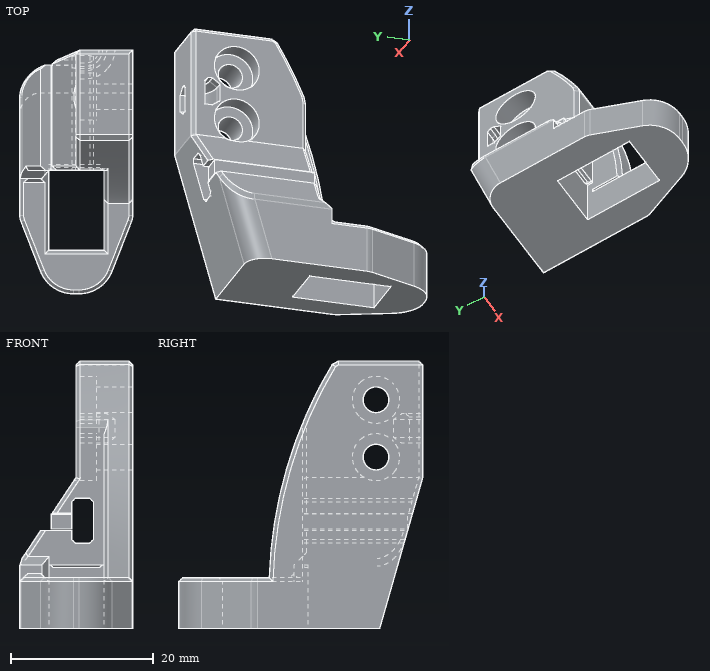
import cadquery as cq
import math

WIDTH = 15.87
LENGTH = 34.2
HEIGHT = 37.52
EDGE = 0.55

SLAB_HEIGHT = 7.15
TAPER_START_Y = 10.58
NOSE_WIDTH = 7.58
NOSE_RADIUS = 5.0
SHOULDER_RADIUS = 2.35

KNEE_HEIGHT = 21.15
UPPER_LEFT_X = 7.88
FLANK_FOOT_HEIGHT = 9.35
FLANK_RUN_PER_RISE = UPPER_LEFT_X / (KNEE_HEIGHT - FLANK_FOOT_HEIGHT)

BACK_FOOT_Y = 28.18
BACK_RUN_PER_RISE = (LENGTH - BACK_FOOT_Y) / KNEE_HEIGHT
BACK_CORNER_RADIUS = 3.0
CURVE_RADIUS = 61.9
CURVE_APEX_Y = 12.65
CURVE_APEX_Z = 5.1

WINDOW_LEFT = 4.1
WINDOW_RIGHT = 11.82
WINDOW_FRONT = 6.15
TOWER_FRONT_Y = 17.35

STEP_FRONT_Y = 16.17
STEP_HEIGHT = 8.93
STEP_SIDE_INSET = 0.98
STEP_DEPTH = TOWER_FRONT_Y - STEP_FRONT_Y
STEP_TOP = STEP_HEIGHT + STEP_DEPTH

UNDERCUT_DEPTH = 0.83
LEDGE_INSET = 0.23
LEDGE_DROP = 0.38
LEDGE_TAPER = 48.0

SLOT_LEFT = 7.3
SLOT_RIGHT = 10.3
SLOT_BOTTOM = 12.0
SLOT_TOP = 18.27
SLOT_CORNER = 0.5
MOUTH_BOTTOM = 13.77
MOUTH_TOP = 16.17

KEY_GAP_BELOW = 0.2
KEY_GAP_ABOVE = 0.1
KEY_LEFT = 4.43
KEY_BACK_Y = 32.05

HOLE_Y = 27.65
HOLE_MID_Z = 28.05
HOLE_PITCH = 8.03
HOLE_DIAMETER = 3.55
COUNTERBORE_DIAMETER = 6.6
COUNTERBORE_DEPTH = 2.93

TIE_STRAIGHT = 1.28
TIE_INNER_RADIUS = 2.0
TIE_THICKNESS = 2.2
TIE_HEIGHT = 4.13
TIE_OUTER_HEIGHT = 2.5
TIE_BEVEL = 1.13
TIE_ROOF_CORNER = 0.5
TIE_BACK_WALL = 1.88


def box(x0, x1, y0, y1, z0, z1):
    return cq.Workplane("XY").box(x1 - x0, y1 - y0, z1 - z0, centered=False).translate((x0, y0, z0))


def extrude_x(points, x0, x1):
    """Prism along X from (y, z) points."""
    return cq.Workplane("YZ").workplane(offset=x0).polyline(points).close().extrude(x1 - x0)


def extrude_y(points, y0, y1):
    """Prism along Y from (x, z) points."""
    return cq.Workplane("XZ").workplane(offset=-y0).polyline(points).close().extrude(y0 - y1)


def curve_y(z):
    drop = math.sqrt(CURVE_RADIUS**2 - (z - CURVE_APEX_Z) ** 2)
    return CURVE_APEX_Y + CURVE_RADIUS - drop


def curve_z(y):
    return CURVE_APEX_Z + math.sqrt(CURVE_RADIUS**2 - (CURVE_APEX_Y + CURVE_RADIUS - y) ** 2)


def flank_x(z):
    return FLANK_RUN_PER_RISE * (z - FLANK_FOOT_HEIGHT)


def flank_z(x):
    return FLANK_FOOT_HEIGHT + x / FLANK_RUN_PER_RISE


def back_y(z):
    return BACK_FOOT_Y + BACK_RUN_PER_RISE * min(z, KNEE_HEIGHT)


CURVE_FOOT_Z = curve_z(TOWER_FRONT_Y)


def edges_near(body, *points):
    """Workplane holding, for each point, the edge whose centre is nearest."""
    edges = [body.edges(cq.selectors.NearestToPointSelector(point)).val() for point in points]
    return body.newObject(edges)


def side_prism():
    """Leaning back and curved front, across the full width."""
    return (
        cq.Workplane("YZ")
        .moveTo(curve_y(0), 0)
        .lineTo(BACK_FOOT_Y, 0)
        .lineTo(LENGTH, KNEE_HEIGHT)
        .lineTo(LENGTH, HEIGHT)
        .lineTo(curve_y(HEIGHT), HEIGHT)
        .threePointArc((curve_y(HEIGHT / 2), HEIGHT / 2), (curve_y(0), 0))
        .close()
        .extrude(WIDTH)
    )


def tower_blank():
    """Front outline crossed with the side outline, with the lower back left corner rounded."""
    front_outline = [
        (0, 0),
        (0, FLANK_FOOT_HEIGHT),
        (UPPER_LEFT_X, KNEE_HEIGHT),
        (UPPER_LEFT_X, HEIGHT),
        (WIDTH, HEIGHT),
        (WIDTH, 0),
    ]
    blank = side_prism().intersect(extrude_y(front_outline, 0, LENGTH))
    corner_z = FLANK_FOOT_HEIGHT / 2
    return edges_near(blank, (0, back_y(corner_z), corner_z)).fillet(BACK_CORNER_RADIUS)


def front_clearance():
    """Space ahead of the tower front: leaves the rib on the right and the step on the left."""
    step_slope = [
        (0, STEP_TOP),
        (TOWER_FRONT_Y, STEP_TOP),
        (STEP_FRONT_Y, STEP_HEIGHT),
        (STEP_FRONT_Y, 0),
        (0, 0),
    ]
    step_side = [
        (WINDOW_LEFT - STEP_SIDE_INSET, STEP_FRONT_Y),
        (WINDOW_LEFT, TOWER_FRONT_Y),
        (WINDOW_RIGHT, TOWER_FRONT_Y),
        (WINDOW_RIGHT, STEP_FRONT_Y),
    ]
    over_step = box(0, WINDOW_RIGHT, 0, TOWER_FRONT_Y, STEP_TOP, HEIGHT)
    beside_step = cq.Workplane("XY").polyline(step_side).close().extrude(HEIGHT)
    return extrude_x(step_slope, 0, WINDOW_RIGHT).union(over_step).union(beside_step)


def tower():
    body = tower_blank().cut(front_clearance())

    upper_z = (KNEE_HEIGHT + HEIGHT) / 2
    front_flank_z = (STEP_TOP + KNEE_HEIGHT) / 2
    corner_inset = BACK_CORNER_RADIUS * (1 - math.sqrt(0.5))
    corner_z = flank_z(corner_inset)
    fillet_top_z = flank_z(BACK_CORNER_RADIUS)
    back_flank_z = (fillet_top_z + KNEE_HEIGHT) / 2
    curve_mid_z = HEIGHT / 2
    curve_upper_z = (CURVE_FOOT_Z + HEIGHT) / 2
    curve_lower_z = CURVE_FOOT_Z / 2
    top_x = (UPPER_LEFT_X + WIDTH) / 2
    top_y = (curve_y(HEIGHT) + LENGTH) / 2
    sharp_edges = edges_near(
        body,
        (UPPER_LEFT_X, LENGTH, upper_z),
        (flank_x(back_flank_z), back_y(back_flank_z), back_flank_z),
        (corner_inset, back_y(corner_z) - corner_inset, corner_z),
        (0, (STEP_FRONT_Y + BACK_FOOT_Y) / 2, FLANK_FOOT_HEIGHT),
        (UPPER_LEFT_X, TOWER_FRONT_Y, (KNEE_HEIGHT + CURVE_FOOT_Z) / 2),
        (flank_x(front_flank_z), TOWER_FRONT_Y, front_flank_z),
        (UPPER_LEFT_X, curve_y(curve_upper_z), curve_upper_z),
        ((UPPER_LEFT_X + WINDOW_RIGHT) / 2, TOWER_FRONT_Y, CURVE_FOOT_Z),
        (WINDOW_RIGHT, curve_y(curve_lower_z), curve_lower_z),
        (WIDTH, curve_y(curve_mid_z), curve_mid_z),
        (UPPER_LEFT_X, top_y, HEIGHT),
        (WIDTH, top_y, HEIGHT),
        (top_x, curve_y(HEIGHT), HEIGHT),
        (top_x, LENGTH, HEIGHT),
    )
    return sharp_edges.chamfer(EDGE)


def slab():
    taper = (WIDTH - NOSE_WIDTH) / 2
    back = TOWER_FRONT_Y + UNDERCUT_DEPTH
    outline = [
        (0, back),
        (0, TAPER_START_Y),
        (taper, 0),
        (WIDTH - taper, 0),
        (WIDTH, TAPER_START_Y),
        (WIDTH, back),
    ]
    plate = cq.Workplane("XY").polyline(outline).close().extrude(SLAB_HEIGHT)
    mid_z = SLAB_HEIGHT / 2
    plate = edges_near(plate, (taper, 0, mid_z), (WIDTH - taper, 0, mid_z)).fillet(NOSE_RADIUS)
    plate = edges_near(plate, (0, TAPER_START_Y, mid_z), (WIDTH, TAPER_START_Y, mid_z)).fillet(SHOULDER_RADIUS)
    rim = plate.faces(">Z").edges("not >Y")
    return rim.chamfer(EDGE)


def step_foot():
    """Sloping bead in the corner between the slab top and the step."""
    profile = [
        (EDGE, SLAB_HEIGHT),
        (WINDOW_LEFT - EDGE, SLAB_HEIGHT),
        (WINDOW_LEFT - 2 * EDGE, SLAB_HEIGHT + EDGE),
        (2 * EDGE, SLAB_HEIGHT + EDGE),
    ]
    slope = [
        (STEP_FRONT_Y - EDGE, SLAB_HEIGHT),
        (TOWER_FRONT_Y, SLAB_HEIGHT),
        (TOWER_FRONT_Y, SLAB_HEIGHT + EDGE),
        (STEP_FRONT_Y, SLAB_HEIGHT + EDGE),
    ]
    return extrude_y(profile, STEP_FRONT_Y - EDGE, TOWER_FRONT_Y).intersect(extrude_x(slope, 0, WINDOW_LEFT))


def slab_window():
    """Rectangular opening through the slab with a chamfered upper rim ahead of the tower."""
    opening = box(WINDOW_LEFT, WINDOW_RIGHT, WINDOW_FRONT, TOWER_FRONT_Y, 0, SLAB_HEIGHT)
    rim_slope = [
        (WINDOW_LEFT, SLAB_HEIGHT - EDGE),
        (WINDOW_LEFT - EDGE, SLAB_HEIGHT),
        (WINDOW_RIGHT + EDGE, SLAB_HEIGHT),
        (WINDOW_RIGHT, SLAB_HEIGHT - EDGE),
    ]
    side_rims = extrude_y(rim_slope, WINDOW_FRONT - EDGE, TOWER_FRONT_Y)
    front_rim = extrude_x(
        [
            (WINDOW_FRONT, SLAB_HEIGHT - EDGE),
            (WINDOW_FRONT - EDGE, SLAB_HEIGHT),
            (TOWER_FRONT_Y, SLAB_HEIGHT),
            (TOWER_FRONT_Y, SLAB_HEIGHT - EDGE),
        ],
        WINDOW_LEFT - EDGE,
        WINDOW_RIGHT + EDGE,
    )
    return opening.union(side_rims.intersect(front_rim))


def undercut():
    """Recess under the tower front, around a ledge that tapers downwards."""
    recess = box(WINDOW_LEFT, WINDOW_RIGHT, TOWER_FRONT_Y, TOWER_FRONT_Y + UNDERCUT_DEPTH, 0, STEP_HEIGHT)
    ledge_width = WINDOW_RIGHT - WINDOW_LEFT - 2 * LEDGE_INSET
    ledge = (
        cq.Workplane("XY", origin=((WINDOW_LEFT + WINDOW_RIGHT) / 2, TOWER_FRONT_Y + UNDERCUT_DEPTH, STEP_HEIGHT))
        .rect(ledge_width, 2 * UNDERCUT_DEPTH)
        .extrude(-LEDGE_DROP, taper=LEDGE_TAPER)
    )
    return recess.cut(ledge)


def slot():
    """Slot through the tower along Y with a narrower mouth in the flank."""
    chamber = box(SLOT_LEFT, SLOT_RIGHT, 0, LENGTH, SLOT_BOTTOM, SLOT_TOP).edges("|Y").chamfer(SLOT_CORNER)
    mouth = box(0, SLOT_LEFT, TOWER_FRONT_Y - EDGE, LENGTH, MOUTH_BOTTOM, MOUTH_TOP)
    return chamber.intersect(box(0, WIDTH, TOWER_FRONT_Y - EDGE, LENGTH, 0, HEIGHT)).union(mouth)


def screw_hole(z):
    """Through hole along X, counterbored from the left."""
    plane = cq.Workplane("YZ", origin=(0, HOLE_Y, z))
    bore = plane.circle(HOLE_DIAMETER / 2).extrude(WIDTH)
    return bore.union(plane.circle(COUNTERBORE_DIAMETER / 2).extrude(UPPER_LEFT_X + COUNTERBORE_DEPTH))


def tie_channel():
    """Channel that enters the left face and bends a quarter turn out through the back."""
    bend_x = UPPER_LEFT_X + TIE_STRAIGHT
    bend_y = LENGTH - TIE_BACK_WALL + TIE_INNER_RADIUS
    outer_radius = TIE_INNER_RADIUS + TIE_THICKNESS
    section = [
        (TIE_INNER_RADIUS, -TIE_HEIGHT / 2),
        (outer_radius - TIE_BEVEL, -TIE_HEIGHT / 2),
        (outer_radius, -TIE_OUTER_HEIGHT / 2),
        (outer_radius, TIE_OUTER_HEIGHT / 2),
        (outer_radius - TIE_BEVEL, TIE_HEIGHT / 2),
        (TIE_INNER_RADIUS + TIE_ROOF_CORNER, TIE_HEIGHT / 2),
        (TIE_INNER_RADIUS, TIE_HEIGHT / 2 - TIE_ROOF_CORNER),
    ]
    toward_front = cq.Plane(origin=(bend_x, bend_y, HOLE_MID_Z), xDir=(0, -1, 0), normal=(-1, 0, 0))
    toward_right = cq.Plane(origin=(bend_x, bend_y, HOLE_MID_Z), xDir=(1, 0, 0), normal=(0, -1, 0))
    entry = cq.Workplane(toward_front).polyline(section).close().extrude(TIE_STRAIGHT)
    bend = cq.Workplane(toward_right).polyline(section).close().revolve(90, (0, 0, 0), (0, -1, 0))
    return entry.union(bend)


def make_bracket():
    body = tower().union(slab()).union(step_foot())
    body = body.cut(slab_window()).cut(undercut()).cut(slot()).cut(tie_channel())
    for offset in (-HOLE_PITCH / 2, HOLE_PITCH / 2):
        body = body.cut(screw_hole(HOLE_MID_Z + offset))
    return body


def make_key():
    """Loose bar lying in the slot mouth with a thin gap above and below."""
    return box(KEY_LEFT, SLOT_LEFT, TOWER_FRONT_Y, KEY_BACK_Y, MOUTH_BOTTOM + KEY_GAP_BELOW, MOUTH_TOP - KEY_GAP_ABOVE)


bracket = make_bracket()
key = make_key()
result = cq.Compound.makeCompound([bracket.val(), key.val()])